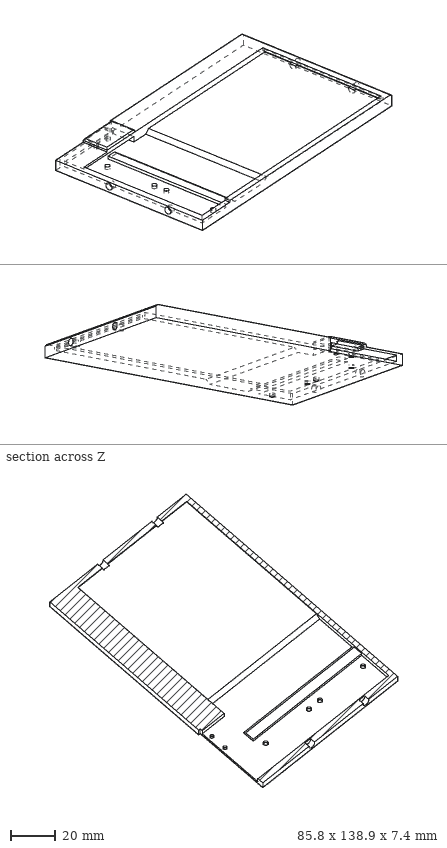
import cadquery as cq

width = 85.8
length = 138.9
pad_top = 7.4
level_step = 1.0
rear_top = pad_top - level_step
front_top = rear_top - level_step

front_section_length = 41.1
side_setback = 1.0
lip_y = 20.1
rear_chamfer = 1.0

pocket_left = 14.9
pocket_right = 83.0
pocket_front = 3.3
pocket_rear = 134.3
low_floor = 1.4
high_floor = 3.5
ridge_top = 2.9
ridge_front = 20.8
ridge_crest_rear = 25.7
high_floor_front = 50.5
undercut_depth = 1.4
undercut_top = 4.9

pad_bevel = 0.7

window_rear = 39.7
window_top = 4.3

relief_front = 21.5
relief_rear = 36.4
relief_top = 5.8
relief_bevel = 0.5
relief_depth = 4.9

floor_hole_diameter = 2.4
floor_hole_y = 16.1
floor_hole_spacing = 27.1
window_hole_diameter = 2.0
window_hole_x = 3.2
window_hole_positions = (27.1, 35.7)
wall_hole_diameter = 3.5
wall_hole_z = 3.0
wall_hole_positions = (31.8, 65.8)
front_hole_depth = 2.6
rear_hole_start = 134.7


def side_profile(points, x_start, x_end):
    """Extrude a (Y, Z) outline along X between two positions."""
    return cq.Workplane("YZ", origin=(x_start, 0, 0)).polyline(points).close().extrude(x_end - x_start)


def make_body():
    body = side_profile(
        [
            (0, 0),
            (length, 0),
            (length, rear_top - rear_chamfer),
            (length - rear_chamfer, rear_top),
            (lip_y, rear_top),
            (lip_y, front_top),
            (0, front_top),
        ],
        0,
        width,
    )
    setback = cq.Workplane("XY").box(side_setback, front_section_length, pad_top, centered=False)
    return body.cut(setback)


def make_pad():
    base_corners = [
        (side_setback, lip_y),
        (pocket_left, lip_y),
        (pocket_left, front_section_length),
        (side_setback, front_section_length),
    ]
    top_left = side_setback + pad_bevel
    top_right = pocket_left - pad_bevel
    top_front = lip_y + pad_bevel
    top_rear = front_section_length - pad_bevel
    top_corners = [
        (top_left, top_front),
        (top_right, top_front),
        (top_right, top_rear),
        (top_left, top_rear),
    ]
    return (
        cq.Workplane("XY", origin=(0, 0, rear_top))
        .polyline(base_corners)
        .close()
        .workplane(offset=level_step)
        .polyline(top_corners)
        .close()
        .loft(ruled=True)
    )


def make_pocket():
    ridge_foot = ridge_crest_rear + ridge_top - low_floor
    step_foot = high_floor_front - (high_floor - low_floor)
    undercut_rear = pocket_rear + undercut_depth
    outline = [
        (pocket_front, low_floor),
        (ridge_front, low_floor),
        (ridge_front, ridge_top),
        (ridge_crest_rear, ridge_top),
        (ridge_foot, low_floor),
        (step_foot, low_floor),
        (high_floor_front, high_floor),
        (undercut_rear, high_floor),
        (undercut_rear, undercut_top),
        (pocket_rear, undercut_top),
        (pocket_rear, pad_top),
        (pocket_front, pad_top),
    ]
    return side_profile(outline, pocket_left, pocket_right)


def make_window():
    outline = [
        (pocket_front, low_floor),
        (window_rear, low_floor),
        (window_rear, window_top),
        (pocket_front, window_top),
    ]
    return side_profile(outline, side_setback, pocket_left)


def make_relief():
    outline = [
        (relief_front, low_floor),
        (relief_rear, low_floor),
        (relief_rear, relief_top - relief_bevel),
        (relief_rear - relief_bevel, relief_top),
        (relief_front + relief_bevel, relief_top),
        (relief_front, relief_top - relief_bevel),
    ]
    return side_profile(outline, side_setback, side_setback + relief_depth)


def make_floor_holes():
    centers = [
        (x + side * floor_hole_spacing / 2, floor_hole_y)
        for x in wall_hole_positions
        for side in (-1, 1)
    ]
    return cq.Workplane("XY").pushPoints(centers).circle(floor_hole_diameter / 2).extrude(low_floor)


def make_window_holes():
    centers = [(window_hole_x, y) for y in window_hole_positions]
    return cq.Workplane("XY").pushPoints(centers).circle(window_hole_diameter / 2).extrude(low_floor)


def make_wall_holes(y_start, y_end):
    """Pair of horizontal holes along Y between two positions."""
    return (
        cq.Workplane("XZ", origin=(0, y_start, 0))
        .pushPoints([(x, wall_hole_z) for x in wall_hole_positions])
        .circle(wall_hole_diameter / 2)
        .extrude(y_start - y_end)
    )


cutters = [
    make_pocket(),
    make_window(),
    make_relief(),
    make_floor_holes(),
    make_window_holes(),
    make_wall_holes(0, front_hole_depth),
    make_wall_holes(rear_hole_start, length),
]

result = make_body().union(make_pad())
for cutter in cutters:
    result = result.cut(cutter)